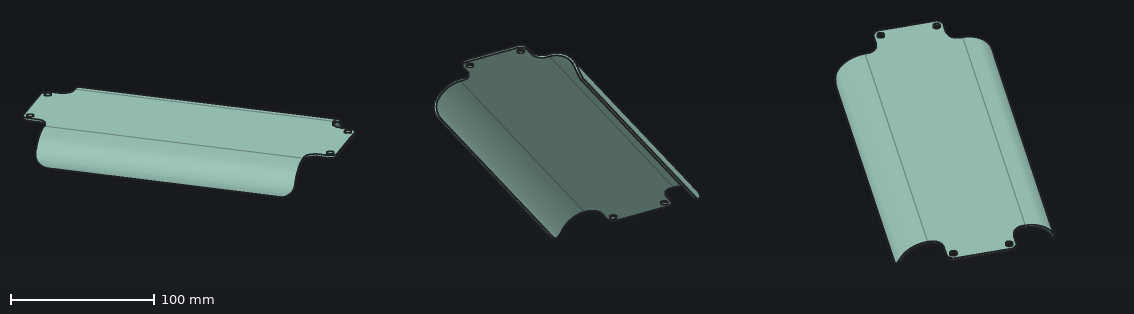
import cadquery as cq

length = 230.0
wing_length = 190.0
width = 114.0
height = 22.0
thickness = 2.0
tab_width = 50.1
tab_corner_radius = 5.0
neck_radius = 8.0
wing_corner_radius = 10.0
hole_diameter = 5.0
hole_inset = 5.0
margin = 0.2

bend_y = width / 2 - height


def arch_solid(radius):
    """Solid under an arched profile with quarter-round shoulders."""
    shoulder = radius * 0.5 ** 0.5
    outer_y = bend_y + radius
    return (
        cq.Workplane("YZ")
        .moveTo(-outer_y, -height)
        .threePointArc((-bend_y - shoulder, shoulder - height), (-bend_y, radius - height))
        .lineTo(bend_y, radius - height)
        .threePointArc((bend_y + shoulder, shoulder - height), (outer_y, -height))
        .close()
        .extrude(length / 2, both=True)
    )


def plan_outline():
    """Body and tabs seen in plan, extruded through the full height."""
    body = cq.Workplane("XY").box(wing_length, width, height, centered=(True, True, False))
    tabs = (
        cq.Workplane("XY")
        .box(length, tab_width, height, centered=(True, True, False))
        .edges("|Z").fillet(tab_corner_radius)
    )
    neck_corners = cq.selectors.BoxSelector(
        (-wing_length / 2 - margin, -tab_width / 2 - margin, -margin),
        (wing_length / 2 + margin, tab_width / 2 + margin, height + margin),
    )
    outline = body.union(tabs).edges("|Z").edges(neck_corners).fillet(neck_radius)
    return outline.translate((0, 0, -height))


def side_outline():
    """Side elevation: rounded lower wing corners below the full-length plate."""
    wings = (
        cq.Workplane("XY")
        .box(wing_length, width, height, centered=(True, True, False))
        .edges("|Y and <Z").fillet(wing_corner_radius)
        .translate((0, 0, -height))
    )
    plate = (
        cq.Workplane("XY")
        .box(length, width, thickness, centered=(True, True, False))
        .translate((0, 0, -thickness))
    )
    return wings.union(plate)


sheet = arch_solid(height).cut(arch_solid(height - thickness))
sheet = sheet.intersect(plan_outline()).intersect(side_outline())

holes = (
    cq.Workplane("XY")
    .rect(length - 2 * hole_inset, tab_width - 2 * hole_inset, forConstruction=True)
    .vertices()
    .circle(hole_diameter / 2)
    .extrude(-height)
)
result = sheet.cut(holes)